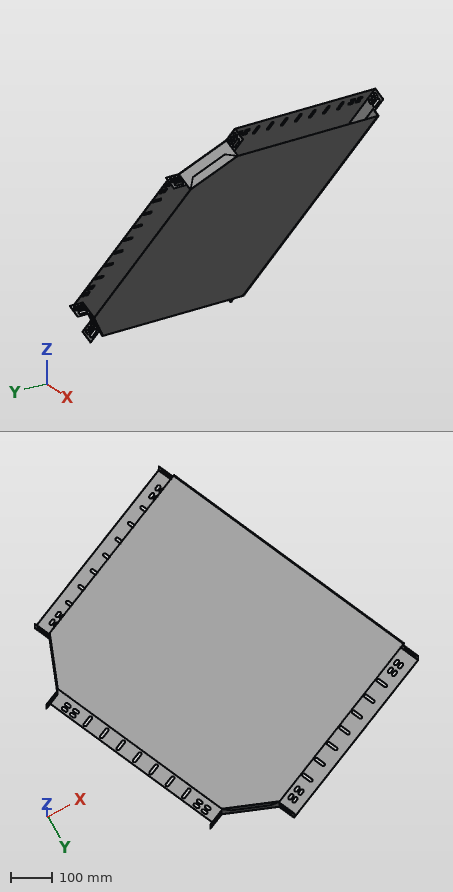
import cadquery as cq
import math


sheet = 1.0
tray_width = 501.5
corner_cut = 100.0
tab_length = 45.0
tab_depth = 35.0
wall_depth = 50.0
branch_setback = 15.0
flange_height = 23.0

slot_pitch = 50.0
slot_count = 7
slot_inset = 36.0
slot_length = 30.0
slot_width = 8.0
small_slot_insets = (25.5, 38.0)
small_slot_offsets = (189.0, 213.0)
small_slot_length = 15.0
small_slot_width = 8.0

oval_insets = (12.0, 25.0, 37.0)
oval_drop = 12.0
oval_height = 14.0
oval_width = 8.0
tab_slot_inset = 25.0
tab_slot_drop = 25.5
tab_slot_length = 29.0
tab_slot_width = 8.0

heading = -149.72
tilt = 34.19
spin = -144.05

half_branch = tray_width / 2
half_closed = half_branch + corner_cut
half_run = half_closed + tab_length
corner_top = tray_width + corner_cut
branch_tip = corner_top + tab_length
bend = sheet * math.tan(math.radians(22.5))
skew = sheet * math.sqrt(2)


def prism(points, top, depth):
    """Solid with the given XY outline, going down from Z = top."""
    return cq.Workplane("XY", origin=(0, 0, top)).polyline(points).close().extrude(-depth)


def mirrored(right_half):
    """Outline points of the right half, followed by their mirror images in reverse order."""
    return right_half + [(-x, y) for x, y in reversed(right_half)]


def tray_floor():
    branch_end = branch_tip - branch_setback
    outline = mirrored([
        (half_run, 0),
        (half_run, tray_width),
        (half_closed, tray_width),
        (half_branch, corner_top),
        (half_branch, branch_end),
    ])
    return prism(outline, 0, sheet)


def long_wall():
    """Closed side wall with a coupling tab at each end."""
    wall = prism(mirrored([(half_closed, 0), (half_closed, sheet)]), 0, wall_depth)
    tabs = prism(mirrored([(half_run, 0), (half_run, sheet)]), 0, tab_depth)
    return wall.union(tabs)


def corner_wall():
    """Right-hand 45 degree wall with the coupling tab at each of its ends."""
    fold_outer = [(half_closed, tray_width), (half_branch, corner_top)]
    fold_inner = [(half_branch - sheet, corner_top - bend), (half_closed - bend, tray_width - sheet)]
    branch_tab_end = [(half_branch, branch_tip), (half_branch - sheet, branch_tip)]
    run_tab_end = [(half_run, tray_width - sheet), (half_run, tray_width)]
    wall = prism(fold_outer + fold_inner, 0, wall_depth)
    tabs = prism(fold_outer + branch_tab_end + fold_inner + run_tab_end, 0, tab_depth)
    return wall.union(tabs)


def floor_slots(tip_center, inward):
    """Cutters for one opening: a row of long slots and two pairs of small slots at each side."""
    plane = cq.Plane(origin=tip_center, xDir=inward, normal=(0, 0, 1))
    middle = (slot_count - 1) / 2
    long_places = [(slot_inset, (i - middle) * slot_pitch) for i in range(slot_count)]
    small_places = [
        (inset, side * offset)
        for inset in small_slot_insets
        for offset in small_slot_offsets
        for side in (-1, 1)
    ]
    long_slots = cq.Workplane(plane).pushPoints(long_places).slot2D(slot_length, slot_width)
    small_slots = cq.Workplane(plane).pushPoints(small_places).slot2D(small_slot_length, small_slot_width, 90)
    return [long_slots.extrude(2 * sheet, both=True), small_slots.extrude(2 * sheet, both=True)]


def tab_holes(tip, inward, normal):
    """Cutters for one tab: local X runs from its tip to the wall and local Y down from the floor."""
    plane = cq.Plane(origin=tip, xDir=inward, normal=normal)
    oval_places = [(inset, oval_drop) for inset in oval_insets]
    ovals = cq.Workplane(plane).pushPoints(oval_places).slot2D(oval_height, oval_width, 90)
    slot = cq.Workplane(plane).center(tab_slot_inset, tab_slot_drop).slot2D(tab_slot_length, tab_slot_width)
    return [ovals.extrude(2 * sheet, both=True), slot.extrude(2 * sheet, both=True)]


def make_tray():
    right_corner = corner_wall()
    tray = tray_floor().union(long_wall()).union(right_corner).union(right_corner.mirror("YZ"))

    run_slots = floor_slots((half_run, tray_width / 2, 0), (-1, 0, 0))
    branch_slots = floor_slots((0, branch_tip, 0), (0, -1, 0))
    right_tab_holes = (
        tab_holes((half_run, 0, 0), (-1, 0, 0), (0, -1, 0))
        + tab_holes((half_run, tray_width, 0), (-1, 0, 0), (0, -1, 0))
        + tab_holes((half_branch, branch_tip, 0), (0, -1, 0), (1, 0, 0))
    )
    for cutter in run_slots + right_tab_holes:
        tray = tray.cut(cutter).cut(cutter.mirror("YZ"))
    for cutter in branch_slots:
        tray = tray.cut(cutter)
    return tray


def cover_plate():
    outline = mirrored([
        (half_closed, -sheet),
        (half_closed, tray_width + skew),
        (half_branch + skew, corner_top),
    ])
    return prism(outline, -wall_depth, sheet)


def long_flange():
    """Flange on the outer face of the long wall."""
    outline = mirrored([(half_closed, -sheet), (half_closed, 0)])
    return prism(outline, flange_height - wall_depth - sheet, flange_height)


def corner_flange():
    """Right-hand flange on the outer face of the corner wall, with its ends mitred at 45 degrees."""
    length = corner_cut * math.sqrt(2)
    plane = cq.Plane(
        origin=(half_closed, tray_width, -wall_depth - sheet), xDir=(-1, 1, 0), normal=(1, 1, 0)
    )
    profile = [(0, 0), (length, 0), (length - flange_height, flange_height), (flange_height, flange_height)]
    return cq.Workplane(plane).polyline(profile).close().extrude(sheet)


def make_cover():
    right_flange = corner_flange()
    return cover_plate().union(long_flange()).union(right_flange).union(right_flange.mirror("YZ"))


def in_place(body):
    """Turn a body from the local axes to its final attitude."""
    origin = (0, 0, 0)
    turned = body.rotate(origin, (0, 0, 1), spin)
    turned = turned.rotate(origin, (1, 0, 0), tilt)
    return turned.rotate(origin, (0, 0, 1), heading)


tray = in_place(make_tray())
cover = in_place(make_cover())
result = cq.Compound.makeCompound([tray.val(), cover.val()])